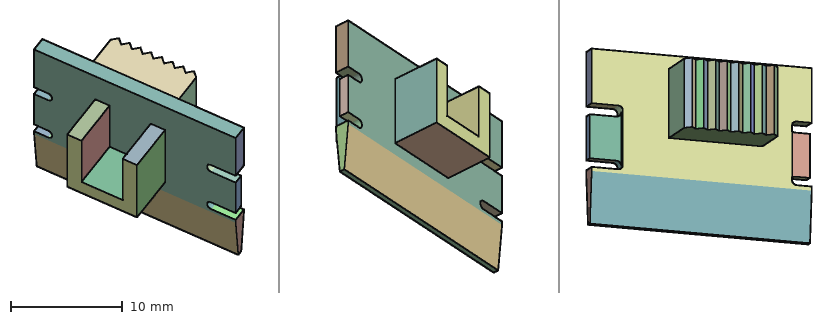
import cadquery as cq

plate_width = 21.02
plate_height = 16.08
plate_thickness = 1.47
taper_height = 4.75
tip_thickness = 0.55

slot_width = 0.9
left_slot_depth = 1.9
right_slot_depth = 2.98
slot_drops = (5.5, 10.49)
recess_depth = 0.48

boss_right = 3.15

u_width = 7.27
u_height = 7.0
u_drop = 3.07
u_wall = 1.5
u_length = 4.95

grip_width = 8.93
grip_height = 6.4
grip_drop = 1.26
grip_length = 4.58
tooth_count = 8
tooth_pitch = grip_width / tooth_count
tooth_height = tooth_pitch / 2


def block(x_min, x_max, y_min, y_max, z_min, z_max):
    """Box given by its limits along each axis."""
    size = (x_max - x_min, y_max - y_min, z_max - z_min)
    return cq.Workplane("XY").box(*size, centered=False).translate((x_min, y_min, z_min))


def make_plate():
    """Plate with its lower end tapering evenly from both faces."""
    tip_inset = (plate_thickness - tip_thickness) / 2
    return (
        cq.Workplane("YZ", origin=(-plate_width / 2, 0, 0))
        .moveTo(tip_inset, 0)
        .lineTo(tip_inset + tip_thickness, 0)
        .lineTo(plate_thickness, taper_height)
        .lineTo(plate_thickness, plate_height)
        .lineTo(0, plate_height)
        .lineTo(0, taper_height)
        .close()
        .extrude(plate_width)
    )


def make_edge_slot(side, depth, z):
    """Through slot with a round end, open at the left (-1) or right (1) edge."""
    radius = slot_width / 2
    edge = side * plate_width / 2
    arc_start = edge - side * (depth - radius)
    return (
        cq.Workplane("XZ")
        .moveTo(edge, z - radius)
        .lineTo(arc_start, z - radius)
        .threePointArc((edge - side * depth, z), (arc_start, z + radius))
        .lineTo(edge, z + radius)
        .close()
        .extrude(-plate_thickness)
    )


def make_edge_recess(side, depth):
    """Recess in the back face, spanning the two slot centre lines."""
    edge = side * plate_width / 2
    x_min, x_max = sorted((edge, edge - side * depth))
    upper_drop, lower_drop = slot_drops
    return block(
        x_min, x_max,
        plate_thickness - recess_depth, plate_thickness,
        plate_height - lower_drop, plate_height - upper_drop,
    )


def make_u_boss():
    """Front boss with a channel open at the top and front."""
    left = boss_right - u_width
    top = plate_height - u_drop
    bottom = top - u_height
    body = block(left, boss_right, -u_length, 0, bottom, top)
    channel = block(left + u_wall, boss_right - u_wall, -u_length, 0, bottom + u_wall, top)
    return body.cut(channel)


def make_grip():
    """Back boss ending in a row of vertical V-shaped teeth."""
    left = boss_right - grip_width
    crest = plate_thickness + grip_length
    root = crest - tooth_height
    bottom = plate_height - grip_drop - grip_height
    outline = (
        cq.Workplane("XY", origin=(0, 0, bottom))
        .moveTo(boss_right, plate_thickness)
        .lineTo(left, plate_thickness)
        .lineTo(left, root)
    )
    for tooth in range(tooth_count):
        tooth_left = left + tooth * tooth_pitch
        outline = outline.lineTo(tooth_left + tooth_pitch / 2, crest)
        outline = outline.lineTo(tooth_left + tooth_pitch, root)
    return outline.close().extrude(grip_height)


result = make_plate()
for side, depth in ((-1, left_slot_depth), (1, right_slot_depth)):
    for drop in slot_drops:
        result = result.cut(make_edge_slot(side, depth, plate_height - drop))
    result = result.cut(make_edge_recess(side, depth))
result = result.union(make_u_boss()).union(make_grip())